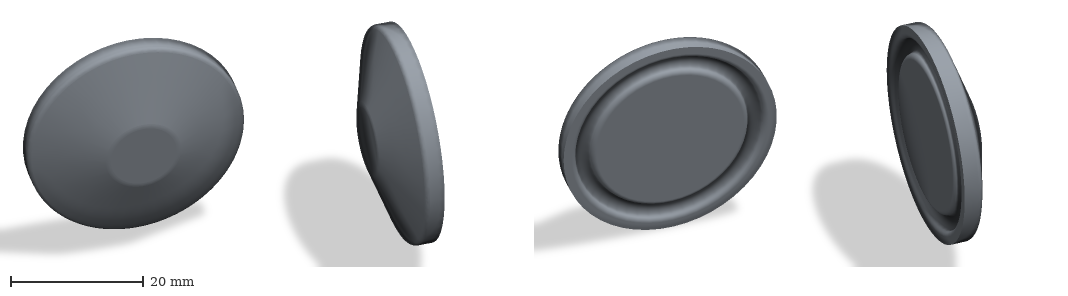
import cadquery as cq
import math

outer_radius = 17.0
total_height = 7.0
boss_radius = 5.55
cone_angle = 20.0
rim_round = 0.75
boss_round = 2.1

groove_radius = 13.75
groove_half_mouth = 1.97
groove_draft = 20.0
groove_lip_round = 0.78
groove_floor_round = 1.15


def revolve_about_x(outline):
    return outline.revolve(360, (0, 0, 0), (1, 0, 0))


def make_body():
    cone_height = (outer_radius - boss_radius) * math.tan(math.radians(cone_angle))
    outline = (
        cq.Workplane("XY")
        .polyline([
            (0, 0),
            (0, outer_radius),
            (total_height - cone_height, outer_radius),
            (total_height, boss_radius),
            (total_height, 0),
        ])
        .close()
    )
    body = revolve_about_x(outline)
    body = body.faces("%CYLINDER").edges(">X").fillet(rim_round)
    return body.faces(">X").edges().fillet(boss_round)


def make_groove():
    turn = math.radians(90 - groove_draft)

    def arc_step(radius, angle):
        """Depth and sideways travel along an arc that starts parallel to the face."""
        return radius * (1 - math.cos(angle)), radius * math.sin(angle)

    lip_mid_depth, lip_mid_run = arc_step(groove_lip_round, turn / 2)
    lip_depth, lip_run = arc_step(groove_lip_round, turn)
    floor_rise, floor_half_width = arc_step(groove_floor_round, turn)
    wall_run = groove_half_mouth - lip_run - floor_half_width
    wall_end_depth = lip_depth + wall_run * math.tan(turn)

    inner_edge = groove_radius - groove_half_mouth
    outer_edge = groove_radius + groove_half_mouth
    outline = (
        cq.Workplane("XY")
        .moveTo(0, inner_edge)
        .threePointArc((lip_mid_depth, inner_edge + lip_mid_run), (lip_depth, inner_edge + lip_run))
        .lineTo(wall_end_depth, groove_radius - floor_half_width)
        .threePointArc(
            (wall_end_depth + floor_rise, groove_radius),
            (wall_end_depth, groove_radius + floor_half_width),
        )
        .lineTo(lip_depth, outer_edge - lip_run)
        .threePointArc((lip_mid_depth, outer_edge - lip_mid_run), (0, outer_edge))
        .close()
    )
    return revolve_about_x(outline)


result = make_body().cut(make_groove())